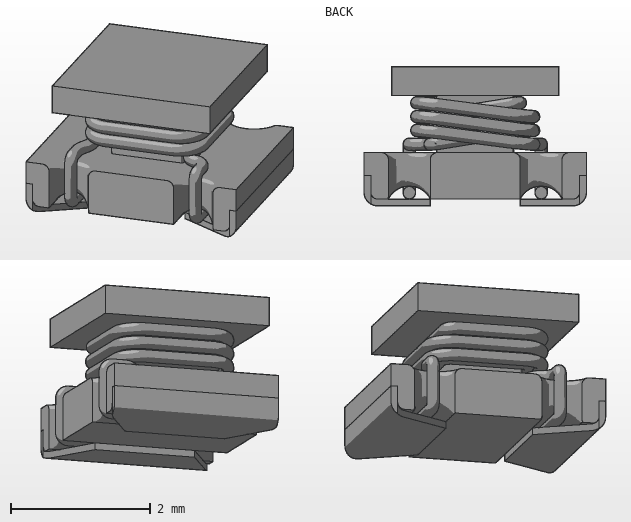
import cadquery as cq
import math


length = 3.2
width = 2.5
height = 2.0
base_top = 0.768
plate_length = 2.4
plate_thickness = 0.415
plate_bottom = height - plate_thickness
post_half = 0.555
post_corner_radius = 0.048

terminal_thickness = 0.1
terminal_height = 0.435
bend_inner_radius = 0.1
bend_outer_radius = bend_inner_radius + terminal_thickness
terminal_taper = math.radians(30)
shoulder_x = length / 2 - terminal_thickness

wire_diameter = 0.18
wire_radius = wire_diameter / 2
down_bend_radius = 0.1

notch_x = 0.947
notch_half_width = 0.3
notch_clearance = 0.005
notch_depth = wire_diameter + notch_clearance
notch_radius = (notch_half_width**2 + notch_depth**2) / (2 * notch_depth)
notch_centre_offset = notch_radius - notch_depth
notch_fillet = 0.1
terminal_end_x = notch_x - notch_half_width
edge_margin = 0.003

lead_z = 0.885
turn_pitch = 0.2
turn_count = 3
top_turn_z = lead_z + turn_count * turn_pitch
bend_centre = post_half - post_corner_radius
post_gap = 0.003
inner_bend = post_corner_radius + post_gap + wire_radius
layer_gap = 0.013
outer_bend = inner_bend + wire_diameter + layer_gap
inner_layer = bend_centre + inner_bend
outer_layer = bend_centre + outer_bend
ramp_steps = 6

lead_y = -width / 2 + wire_radius
lead_bend_end_y = -0.905
tail_z = terminal_thickness + wire_radius
tail_end_y = 0.0


def make_base():
    """Block with raised end shoulders and rounded lower edges that seat the terminals."""
    lower_height = base_top - terminal_thickness
    base = (
        cq.Workplane("XY", origin=(0, 0, terminal_thickness))
        .box(2 * shoulder_x, width, lower_height, centered=(True, True, False))
        .edges("|Y and <Z")
        .fillet(bend_inner_radius)
    )
    shoulder = cq.Workplane("XY", origin=(0, 0, terminal_height)).box(
        length, width, base_top - terminal_height, centered=(True, True, False)
    )
    return base.union(shoulder).clean()


def cut_lead_passages(base):
    """Cut the four side notches and the two channels that run under the base along Y."""
    for side in (-1, 1):
        channel = (
            cq.Workplane("XZ", origin=(side * notch_x, width / 2, terminal_thickness - notch_centre_offset))
            .circle(notch_radius)
            .extrude(width)
        )
        base = base.cut(channel)
        for face in (-1, 1):
            notch = (
                cq.Workplane("XY", origin=(side * notch_x, face * (width / 2 + notch_centre_offset), 0))
                .circle(notch_radius)
                .extrude(height)
            )
            base = base.cut(notch)
    return base


def notch_edges(base, z_low, z_high):
    """Curved edges of all four notches whose centres lie strictly between two levels."""

    def lies_inside_outline(edge):
        centre = edge.Center()
        within_ends = abs(centre.x) < notch_x + notch_half_width - edge_margin
        curves_inward = abs(centre.y) < width / 2 - edge_margin
        past_middle = abs(centre.y) > width / 2 - notch_depth
        return within_ends and curves_inward and past_middle and z_low < centre.z < z_high

    return base.edges().filter(lies_inside_outline)


def make_core():
    """Drum core in one piece: notched base, square post and top plate."""
    base = cut_lead_passages(make_base())
    base = notch_edges(base, terminal_height, height).fillet(notch_fillet)
    base = notch_edges(base, terminal_thickness + edge_margin, terminal_height).fillet(notch_fillet)
    post = (
        cq.Workplane("XY", origin=(0, 0, base_top))
        .rect(2 * post_half, 2 * post_half)
        .extrude(plate_bottom - base_top)
        .edges("|Z")
        .fillet(post_corner_radius)
    )
    plate = cq.Workplane("XY", origin=(0, 0, plate_bottom)).box(
        plate_length, width, plate_thickness, centered=(True, True, False)
    )
    return base.union(post).union(plate)


def make_terminal(side):
    """Angle that wraps the lower end of the base; its foot narrows toward the middle."""
    end_x = side * length / 2
    terminal = (
        cq.Workplane("XZ", origin=(0, width / 2, 0))
        .moveTo(side * terminal_end_x, 0)
        .lineTo(end_x, 0)
        .lineTo(end_x, terminal_height)
        .lineTo(side * shoulder_x, terminal_height)
        .lineTo(side * shoulder_x, terminal_thickness)
        .lineTo(side * terminal_end_x, terminal_thickness)
        .close()
        .extrude(width)
    )
    outer_edge = cq.selectors.NearestToPointSelector((end_x, 0, 0))
    inner_edge = cq.selectors.NearestToPointSelector((side * shoulder_x, 0, terminal_thickness))
    terminal = terminal.edges(outer_edge).fillet(bend_outer_radius)
    terminal = terminal.edges(inner_edge).fillet(bend_inner_radius)
    foot_length = shoulder_x - terminal_end_x
    end_half_width = width / 2 - foot_length * math.tan(terminal_taper)
    outline = (
        cq.Workplane("XY")
        .polyline(
            [
                (end_x, -width / 2),
                (side * shoulder_x, -width / 2),
                (side * terminal_end_x, -end_half_width),
                (side * terminal_end_x, end_half_width),
                (side * shoulder_x, width / 2),
                (end_x, width / 2),
            ]
        )
        .close()
        .extrude(terminal_height)
    )
    return terminal.intersect(outline)


def line(start, end):
    return cq.Edge.makeLine(cq.Vector(*start), cq.Vector(*end))


def arc(centre, radius, start_angle, end_angle, z):
    """Level arc about a plan point, given by its start and end angles in degrees."""
    points = []
    for angle in (start_angle, (start_angle + end_angle) / 2, end_angle):
        turn = math.radians(angle)
        points.append(cq.Vector(centre[0] + radius * math.cos(turn), centre[1] + radius * math.sin(turn), z))
    return cq.Edge.makeThreePointArc(*points)


def rising_corner(bend, start_angle, end_angle, z_start, start_slope, end_slope):
    """Quarter turn about a back corner of the post whose slope changes evenly along it."""
    side = 1 if end_angle <= 90 else -1
    run = bend * math.pi / 2
    points = []
    for step in range(ramp_steps + 1):
        share = step / ramp_steps
        turn = math.radians(start_angle + (end_angle - start_angle) * share)
        rise = run * (start_slope * share + (end_slope - start_slope) * share**2 / 2)
        x = side * bend_centre + bend * math.cos(turn)
        y = bend_centre + bend * math.sin(turn)
        points.append(cq.Vector(x, y, z_start + rise))
    tangents = []
    for angle, slope in ((start_angle, start_slope), (end_angle, end_slope)):
        turn = math.radians(angle)
        tangents.append(cq.Vector(-math.sin(turn), math.cos(turn), slope))
    return cq.Edge.makeSpline(points, tangents=tangents)


def ramp(layer, bend, z_start, z_end):
    """Run around the back of the post, from +X to -X, that leads from one level to the next."""
    corner_run = bend * math.pi / 2
    slope = (z_end - z_start) / (corner_run + 2 * bend_centre)
    corner_rise = slope * corner_run / 2
    return [
        rising_corner(bend, 0, 90, z_start, 0, slope),
        line((bend_centre, layer, z_start + corner_rise), (-bend_centre, layer, z_end - corner_rise)),
        rising_corner(bend, 90, 180, z_end - corner_rise, slope, 0),
    ]


def front_half_turn(layer, bend, z):
    """Level run from the -X side, across the front, to the back end of the +X side."""
    return [
        line((-layer, bend_centre, z), (-layer, -bend_centre, z)),
        arc((-bend_centre, -bend_centre), bend, 180, 270, z),
        line((-bend_centre, -layer, z), (bend_centre, -layer, z)),
        arc((bend_centre, -bend_centre), bend, 270, 360, z),
        line((layer, -bend_centre, z), (layer, bend_centre, z)),
    ]


def lead(layer):
    """Lead from the front of the +X coil side: S-bend outward, down the notch and back under the base."""
    shift = notch_x - layer
    run = -bend_centre - lead_bend_end_y
    sweep = 2 * math.atan2(shift, run)
    bend = run / (2 * math.sin(sweep))
    angle = math.degrees(sweep)
    diagonal = down_bend_radius * math.sqrt(0.5)
    drop_y = lead_y + down_bend_radius
    drop_z = lead_z - down_bend_radius
    foot_z = tail_z + down_bend_radius
    return [
        arc((layer + bend, -bend_centre), bend, 180, 180 + angle, lead_z),
        arc((notch_x - bend, lead_bend_end_y), bend, angle, 0, lead_z),
        line((notch_x, lead_bend_end_y, lead_z), (notch_x, drop_y, lead_z)),
        cq.Edge.makeThreePointArc(
            cq.Vector(notch_x, drop_y, lead_z),
            cq.Vector(notch_x, drop_y - diagonal, drop_z + diagonal),
            cq.Vector(notch_x, lead_y, drop_z),
        ),
        line((notch_x, lead_y, drop_z), (notch_x, lead_y, foot_z)),
        cq.Edge.makeThreePointArc(
            cq.Vector(notch_x, lead_y, foot_z),
            cq.Vector(notch_x, drop_y - diagonal, foot_z - diagonal),
            cq.Vector(notch_x, drop_y, tail_z),
        ),
        line((notch_x, drop_y, tail_z), (notch_x, tail_end_y, tail_z)),
    ]


def make_coil():
    """One wire: up the inner layer, over to the outer layer at the top, and down again."""
    edges = lead(inner_layer)
    edges.append(line((inner_layer, -bend_centre, lead_z), (inner_layer, bend_centre, lead_z)))
    for turn in range(turn_count):
        z = lead_z + turn * turn_pitch
        if turn > 0:
            edges += front_half_turn(inner_layer, inner_bend, z)
        edges += ramp(inner_layer, inner_bend, z, z + turn_pitch)

    crossover_y = inner_bend - outer_layer
    edges += [
        line((-inner_layer, bend_centre, top_turn_z), (-inner_layer, crossover_y, top_turn_z)),
        arc((-bend_centre, crossover_y), inner_bend, 180, 270, top_turn_z),
    ]
    for turn in range(turn_count):
        z = top_turn_z - turn * turn_pitch
        half_turn = front_half_turn(outer_layer, outer_bend, z)
        edges += half_turn[2:] if turn == 0 else half_turn
        edges += ramp(outer_layer, outer_bend, z, z - turn_pitch)

    edges.append(line((-outer_layer, bend_centre, lead_z), (-outer_layer, -bend_centre, lead_z)))
    edges += [edge.mirror("YZ") for edge in lead(outer_layer)]
    path = cq.Wire.assembleEdges(edges)
    return (
        cq.Workplane("XZ", origin=(notch_x, tail_end_y, tail_z))
        .circle(wire_radius)
        .sweep(cq.Workplane("XY").newObject([path]))
    )


core = make_core()
coil = make_coil()
terminals = [make_terminal(side) for side in (-1, 1)]

result = cq.Compound.makeCompound([core.val(), coil.val(), *[terminal.val() for terminal in terminals]])